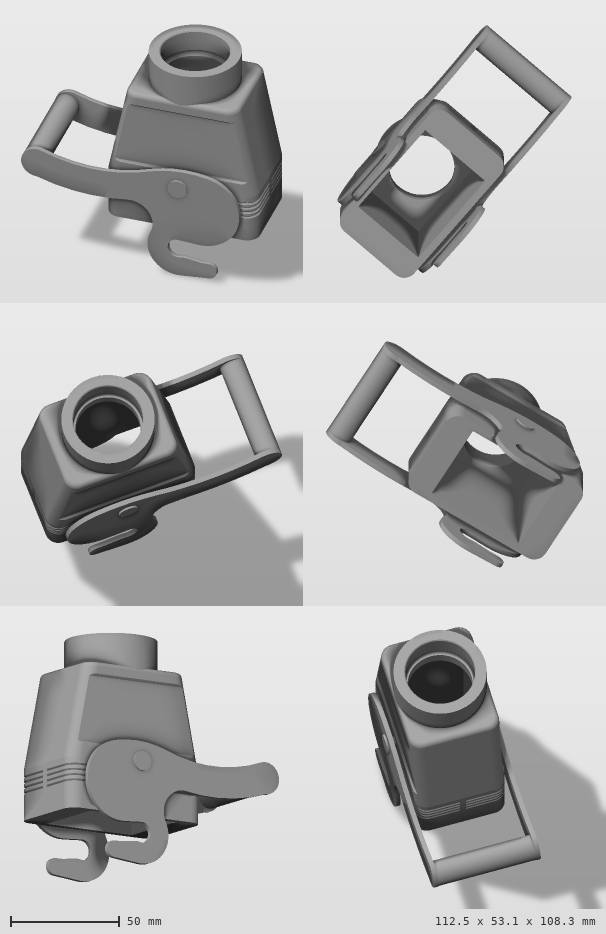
import cadquery as cq
import math


hood_length = 73.1
hood_width = 43.3
hood_height = 69.9
taper_start = 24.1
top_length = 54.3
corner_radius = 6.2
top_radius = 2.2

side_wall = 3.4
cavity_length = 47.2
cavity_height = 66.0

recess_bottom = 30.8
recess_top = 64.0
recess_depth = 1.0

groove_count = 4
groove_pitch = 2.5
lowest_groove = 12.9
groove_depth = 0.7
groove_gap = 2.9

collar_diameter = 43.0
collar_top = 84.9
entry_diameter = 32.2
entry_chamfer = 0.5
entry_floor = 74.5
throat_diameter = 30.0
throat_top = 71.9
undercut_middle_angle = -22.5
undercut_radius = 1.6

plate_outer = 25.6
plate_thickness = 2.2
pivot_z = 24.8
pin_diameter = 5.0
pin_head_diameter = 9.2
pin_head_height = 0.96
bar_radius = 6.0
tip_radius = 7.5
lever_left = -75.9
lever_end_z = 24.5
bar_center = (lever_left + bar_radius, lever_end_z)
tip_center = (lever_left + tip_radius, lever_end_z)

grip_center = (-39.6, 102.2)
grip_upper_radius = 75.4
grip_lower_radius = 90.0
crown_center = (3.9, -15.3)
crown_radius = 49.5
cam_center = (10.8, 14.5)
cam_radius = 19.0
hook_center = (0.0, -8.7)
hook_radius = 14.7
hook_throat_radius = 4.8
nose_center = (15.0, -18.1)
nose_radius = 3.9
crotch_center = (-22.8, 3.0)
crotch_radius = 10.5
hook_lip_start = (1.8, -13.2)
hook_lip_peak = (3.9, -13.2)
hook_lip_turn = (5.6, -13.4)
hook_lip_end = (11.2, -14.2)

grip_tip_angle = -110.4
grip_underside_angle = -108.7
grip_crown_angle = -69.6
crown_cam_angle = 78
cam_mouth_angle = -94
throat_half_angle = 86
hook_back_angle = -85
hook_crotch_angle = 152.7
crotch_grip_angle = 98


def on_circle(center, radius, degrees):
    """Point on a circle, with the angle measured from the first axis."""
    angle = math.radians(degrees)
    return center[0] + radius * math.cos(angle), center[1] + radius * math.sin(angle)


def rounded_hood():
    """Block with upright ends up to taper_start and leaning ends above."""
    half_base = hood_length / 2
    half_top = top_length / 2
    outline = [
        (-half_base, 0),
        (half_base, 0),
        (half_base, taper_start),
        (half_top, hood_height),
        (-half_top, hood_height),
        (-half_base, taper_start),
    ]
    block = cq.Workplane("XZ").polyline(outline).close().extrude(hood_width / 2, both=True)
    block = block.faces("<Y or >Y").edges("not |X").fillet(corner_radius)
    return block.faces(">Z").edges().fillet(top_radius)


def panel_recess(side):
    face = side * hood_width / 2
    floor = face - side * recess_depth
    section = [
        (face, recess_bottom),
        (floor, recess_bottom + recess_depth),
        (floor, recess_top - recess_depth),
        (face, recess_top),
    ]
    return cq.Workplane("YZ").polyline(section).close().extrude(hood_length / 2, both=True)


def cavity():
    block = cq.Workplane("XY").rect(cavity_length, hood_width - 2 * side_wall)
    return block.extrude(cavity_height)


def v_groove(height):
    """Ring with a V section around the base, left out at the middle of both ends."""
    outline = cq.Sketch().rect(hood_length, hood_width).vertices().fillet(corner_radius)
    lower_core = (
        cq.Workplane("XY")
        .placeSketch(outline)
        .extrude(groove_depth, taper=45)
        .translate((0, 0, -groove_depth))
    )
    core = lower_core.union(lower_core.mirror("XY"))
    land = cq.Workplane("XY").box(2 * hood_length, groove_gap, 2 * groove_depth)
    slab = cq.Workplane("XY").box(2 * hood_length, 2 * hood_width, 2 * groove_depth)
    return slab.cut(core).cut(land).translate((0, 0, height))


def entry_bore():
    rim_radius = entry_diameter / 2 + entry_chamfer
    bore_radius = entry_diameter / 2
    throat_radius = throat_diameter / 2
    undercut_center = (throat_radius, throat_top + undercut_radius)
    profile = (
        cq.Workplane("XZ")
        .moveTo(0, collar_top)
        .lineTo(rim_radius, collar_top)
        .lineTo(bore_radius, collar_top - entry_chamfer)
        .lineTo(bore_radius, entry_floor)
        .threePointArc(
            on_circle(undercut_center, undercut_radius, undercut_middle_angle),
            (throat_radius, throat_top),
        )
        .lineTo(throat_radius, cavity_height)
        .lineTo(0, cavity_height)
        .close()
    )
    return profile.revolve(360, (0, 0, 0), (0, 1, 0))


def lever_plate(side):
    """Plate with grip, pivot cam and hook; side is the sign of its Y position."""
    low_face = plate_outer - plate_thickness if side > 0 else -plate_outer
    outline = (
        cq.Workplane("XZ")
        .moveTo(*on_circle(grip_center, grip_upper_radius, grip_tip_angle))
        .threePointArc(
            on_circle(grip_center, grip_upper_radius, -90),
            on_circle(grip_center, grip_upper_radius, grip_crown_angle),
        )
        .threePointArc(
            on_circle(crown_center, crown_radius, 90),
            on_circle(crown_center, crown_radius, crown_cam_angle),
        )
        .threePointArc(
            on_circle(cam_center, cam_radius, 0),
            on_circle(cam_center, cam_radius, cam_mouth_angle),
        )
        .lineTo(*on_circle(hook_center, hook_throat_radius, throat_half_angle))
        .threePointArc(
            on_circle(hook_center, hook_throat_radius, 180),
            on_circle(hook_center, hook_throat_radius, -throat_half_angle),
        )
        .lineTo(*hook_lip_start)
        .threePointArc(hook_lip_peak, hook_lip_turn)
        .lineTo(*hook_lip_end)
        .lineTo(*on_circle(nose_center, nose_radius, 90))
        .threePointArc(
            on_circle(nose_center, nose_radius, 0),
            on_circle(nose_center, nose_radius, hook_back_angle),
        )
        .lineTo(*on_circle(hook_center, hook_radius, hook_back_angle))
        .threePointArc(
            on_circle(hook_center, hook_radius, -150),
            on_circle(hook_center, hook_radius, hook_crotch_angle),
        )
        .threePointArc(
            on_circle(crotch_center, crotch_radius, 35),
            on_circle(crotch_center, crotch_radius, crotch_grip_angle),
        )
        .threePointArc(
            on_circle(grip_center, grip_lower_radius, -90),
            on_circle(grip_center, grip_lower_radius, grip_underside_angle),
        )
        .threePointArc(
            on_circle(tip_center, tip_radius, 180),
            on_circle(grip_center, grip_upper_radius, grip_tip_angle),
        )
        .close()
    )
    return outline.extrude(-plate_thickness).translate((0, low_face, 0))


def pivot_pin(side):
    wall_middle = (hood_width - side_wall) / 2
    shaft = cq.Workplane("XZ", origin=(0, wall_middle, pivot_z)).circle(pin_diameter / 2)
    head = cq.Workplane("XZ", origin=(0, plate_outer, pivot_z)).circle(pin_head_diameter / 2)
    pin = shaft.extrude(wall_middle - plate_outer).union(head.extrude(-pin_head_height))
    return pin if side > 0 else pin.mirror("XZ")


hood = rounded_hood()
for side in (-1, 1):
    hood = hood.cut(panel_recess(side))
for index in range(groove_count):
    hood = hood.cut(v_groove(lowest_groove + index * groove_pitch))
collar = (
    cq.Workplane("XY", origin=(0, 0, cavity_height))
    .circle(collar_diameter / 2)
    .extrude(collar_top - cavity_height)
)
hood = hood.union(collar).cut(cavity()).cut(entry_bore())

bar_length = 2 * plate_outer - plate_thickness
lever = cq.Workplane("XZ").center(*bar_center).circle(bar_radius).extrude(bar_length / 2, both=True)
for side in (-1, 1):
    lever = lever.union(lever_plate(side)).union(pivot_pin(side))

result = hood.union(lever)